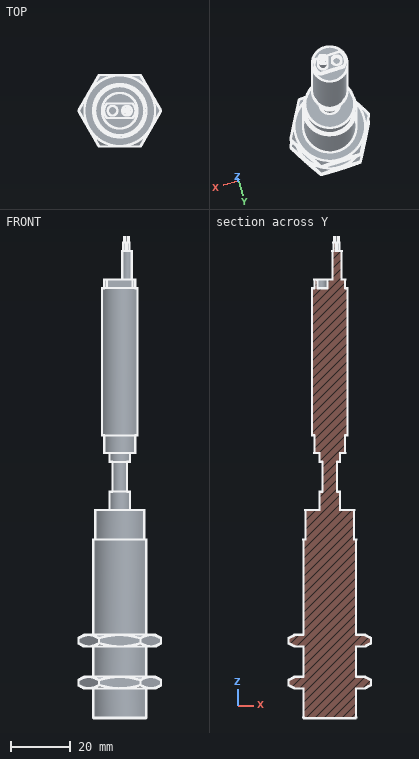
import cadquery as cq
import math

BARREL_DIAMETER = 18.0
BARREL_TOP = 60.0
BARREL_END_CHAMFER = 0.3
HANDLE_TOP = 144.4
UPPER_SECTIONS = [
    (16.5, 70.0),
    (7.0, 76.0),
    (5.0, 86.0),
    (7.0, 89.0),
    (10.5, 95.0),
    (12.0, HANDLE_TOP),
]

NUT_ACROSS_FLATS = 24.0
NUT_ACROSS_CORNERS = NUT_ACROSS_FLATS / math.cos(math.radians(30))
NUT_THICKNESS = 4.0
NUT_BEVEL_ANGLE = 30
NUT_FACE_DIAMETER = 23.7
NUT_BOTTOMS = [10.0, 24.0]

TONGUE_WIDTH = 5.0
TONGUE_FLAT_LENGTH = 8.4
TONGUE_LENGTH = 10.5
TONGUE_TOP = 147.3
PORT_OFFSET = 2.5
PORT_DIAMETER = 3.2

CABLE_TOP = 156.8
WIRE_DIAMETER = 1.0
WIRE_TOP = 159.7
WIRE_CIRCLE_RADIUS = 0.8
WIRE_ANGLES = [60, 180, 300]
CORE_DIAMETER = 0.4
TOTAL_HEIGHT = 161.5


def cylinder(diameter, bottom, top, x=0, y=0):
    return cq.Workplane("XY", origin=(x, y, bottom)).circle(diameter / 2).extrude(top - bottom)


def make_nut(bottom):
    """Hexagon with corners on X, trimmed by a cone at both faces."""
    hexagon = (
        cq.Workplane("XY", origin=(0, 0, bottom))
        .polygon(6, NUT_ACROSS_CORNERS)
        .extrude(NUT_THICKNESS)
    )
    face_radius = NUT_FACE_DIAMETER / 2
    corner_radius = NUT_ACROSS_CORNERS / 2
    bevel_height = (corner_radius - face_radius) * math.tan(math.radians(NUT_BEVEL_ANGLE))
    top = bottom + NUT_THICKNESS
    envelope = (
        cq.Workplane("XZ")
        .polyline([
            (0, bottom),
            (face_radius, bottom),
            (corner_radius, bottom + bevel_height),
            (corner_radius, top - bevel_height),
            (face_radius, top),
            (0, top),
        ])
        .close()
        .revolve(360, (0, 0, 0), (0, 1, 0))
    )
    return hexagon.intersect(envelope)


def make_tongue():
    """Flat-sided tongue with bowed ends and an open port on the -X side."""
    half_flat = TONGUE_FLAT_LENGTH / 2
    half_width = TONGUE_WIDTH / 2
    half_length = TONGUE_LENGTH / 2
    tongue = (
        cq.Workplane("XY", origin=(0, 0, HANDLE_TOP))
        .moveTo(-half_flat, -half_width)
        .lineTo(half_flat, -half_width)
        .threePointArc((half_length, 0), (half_flat, half_width))
        .lineTo(-half_flat, half_width)
        .threePointArc((-half_length, 0), (-half_flat, -half_width))
        .close()
        .extrude(TONGUE_TOP - HANDLE_TOP)
    )
    return tongue.cut(cylinder(PORT_DIAMETER, HANDLE_TOP, TONGUE_TOP, x=-PORT_OFFSET))


def make_cable():
    """Cable on the +X side of the tongue, ending in three stripped wires."""
    cable = cylinder(PORT_DIAMETER, HANDLE_TOP, CABLE_TOP, x=PORT_OFFSET)
    for angle in WIRE_ANGLES:
        x = PORT_OFFSET + WIRE_CIRCLE_RADIUS * math.cos(math.radians(angle))
        y = WIRE_CIRCLE_RADIUS * math.sin(math.radians(angle))
        cable = cable.union(cylinder(WIRE_DIAMETER, CABLE_TOP, WIRE_TOP, x, y))
        cable = cable.union(cylinder(CORE_DIAMETER, WIRE_TOP, TOTAL_HEIGHT, x, y))
    return cable


result = cylinder(BARREL_DIAMETER, 0, BARREL_TOP).faces("<Z").chamfer(BARREL_END_CHAMFER)

section_bottom = BARREL_TOP
for diameter, section_top in UPPER_SECTIONS:
    result = result.union(cylinder(diameter, section_bottom, section_top))
    section_bottom = section_top

for nut_bottom in NUT_BOTTOMS:
    result = result.union(make_nut(nut_bottom))

result = result.union(make_tongue()).union(make_cable())